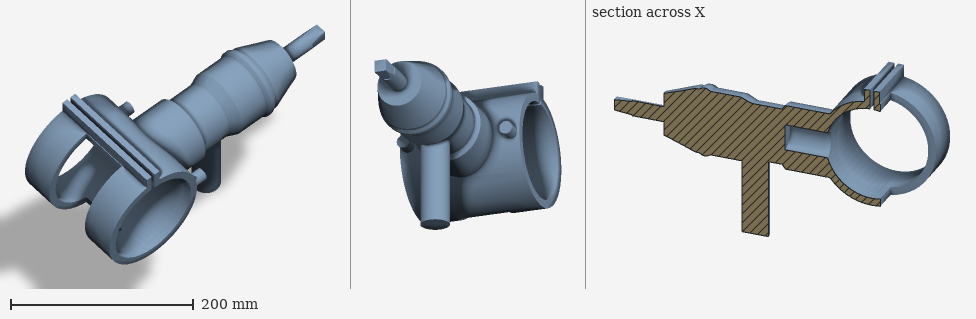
import cadquery as cq

CLAMP_LENGTH = 140.0
RING_RADIUS = 64.0
RING_WALL = 9.2
BORE_RADIUS = RING_RADIUS - RING_WALL
EAR_TOP = 78.0
EAR_OUTER_Y = 9.2
SPLIT_WIDTH = 4.5
WINDOW_WIDTH = 59.0
WINDOW_EDGE_Y = -10.0

TOTAL_LENGTH = 369.0
TIP_Y = TOTAL_LENGTH - RING_RADIUS
BODY_RADIUS = 39.5
NECK_RADIUS = 34.3
BEAD_RADIUS = 42.0
NOSE_RADIUS = 26.0
SHOULDER_Y = 102.5
NECK_START_Y = 106.5
NECK_END_Y = 142.5
BARREL_START_Y = 155.5
BEAD_START_Y = 191.5
BEAD_STEP = 4.5
NOSE_START_Y = 209.0
NOSE_END_Y = 246.8
BORE_HOLE_RADIUS = 15.0

SPINDLE_RADIUS = 9.5
SQUARE_START_Y = 284.8
SQUARE_BASE = 17.0
SQUARE_TIP = 13.3

HANDLE_RADIUS = 16.2
HANDLE_Y = 138.5
HANDLE_BOTTOM_Z = -126.5
PIN_RADIUS = 7.5
PIN_INSET = 10.0
PIN_END_Y = 80.0


def rod_along_y(radius, start, end, x=0):
    """Round bar parallel to Y between two Y positions."""
    plane = cq.Workplane("XZ", origin=(x, start, 0))
    return plane.circle(radius).extrude(start - end)


def cylinder_along_x(radius):
    """Cylinder on the X axis, as long as the clamp."""
    plane = cq.Workplane("YZ", origin=(-CLAMP_LENGTH / 2, 0, 0))
    return plane.circle(radius).extrude(CLAMP_LENGTH)


def make_body():
    """Stepped body revolved about the Y axis, starting inside the clamp bore."""
    bead_end_y = BEAD_START_Y + 3 * BEAD_STEP
    profile = [
        (0, 0),
        (BODY_RADIUS, 0),
        (BODY_RADIUS, SHOULDER_Y),
        (NECK_RADIUS, NECK_START_Y),
        (NECK_RADIUS, NECK_END_Y),
        (BODY_RADIUS, BARREL_START_Y),
        (BODY_RADIUS, BEAD_START_Y),
        (BEAD_RADIUS, BEAD_START_Y + BEAD_STEP),
        (BEAD_RADIUS, bead_end_y - BEAD_STEP),
        (BODY_RADIUS, bead_end_y),
        (BODY_RADIUS, NOSE_START_Y),
        (NOSE_RADIUS, NOSE_END_Y),
        (0, NOSE_END_Y),
    ]
    return cq.Workplane("XY").polyline(profile).close().revolve(360, (0, 0), (0, 1))


def make_spindle():
    """Round shaft whose end is trimmed to a tapered square."""
    shaft = rod_along_y(SPINDLE_RADIUS, NOSE_START_Y, SQUARE_START_Y)
    square = (
        cq.Workplane("XZ", origin=(0, SQUARE_START_Y, 0))
        .rect(SQUARE_BASE, SQUARE_BASE)
        .workplane(offset=SQUARE_START_Y - TIP_Y)
        .rect(SQUARE_TIP, SQUARE_TIP)
        .loft()
    )
    square_end = square.intersect(rod_along_y(SPINDLE_RADIUS, SQUARE_START_Y, TIP_Y))
    return shaft.union(square_end)


def make_handle():
    """Round bar hanging from the body axis."""
    return cq.Workplane("XY", origin=(0, HANDLE_Y, 0)).circle(HANDLE_RADIUS).extrude(HANDLE_BOTTOM_Z)


ears = cq.Workplane("XY").box(CLAMP_LENGTH, 2 * EAR_OUTER_Y, EAR_TOP, centered=(True, True, False))
result = cylinder_along_x(RING_RADIUS).union(ears)
result = result.union(make_body()).union(make_spindle()).union(make_handle())
for side in (-1, 1):
    pin_x = side * (CLAMP_LENGTH / 2 - PIN_INSET)
    result = result.union(rod_along_y(PIN_RADIUS, 0, PIN_END_Y, pin_x))

result = result.cut(cylinder_along_x(BORE_RADIUS))
split = cq.Workplane("XY").box(CLAMP_LENGTH, SPLIT_WIDTH, EAR_TOP, centered=(True, True, False))
result = result.cut(split)
window_depth = RING_RADIUS + WINDOW_EDGE_Y
window = cq.Workplane("XY").box(WINDOW_WIDTH, window_depth, 2 * RING_RADIUS)
result = result.cut(window.translate((0, WINDOW_EDGE_Y - window_depth / 2, 0)))

result = result.cut(rod_along_y(BORE_HOLE_RADIUS, 0, SHOULDER_Y))